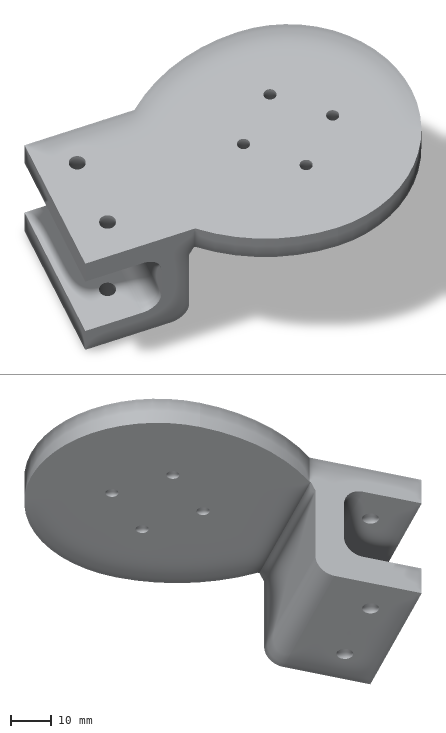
import cadquery as cq

length = 95.3
height = 34.9
tab_width = 40.0
disc_diameter = 66.0
disc_radius = disc_diameter / 2
disc_center_y = length - disc_radius
plate_thickness = 7.4
neck_y = 29.3

wall_back_y = 27.7
wall_thickness = 7.4
jaw_gap = 20.0
lower_arm_thickness = 7.6
bend_radius = 5.0
back_chamfer_run = 1.2
back_chamfer_drop = 2.4

disc_hole_diameter = 3.2
disc_hole_offset = 11.9
clamp_hole_diameter = 4.2
clamp_hole_spacing = 20.0
clamp_hole_y = 10.0

slot_floor_z = lower_arm_thickness
plate_bottom_z = height - plate_thickness
slot_depth = wall_back_y - wall_thickness


def flare_arc_midpoint():
    """Point halfway down the right flare, an arc tangent to the disc at its widest point."""
    run = disc_radius - tab_width / 2
    drop = disc_center_y - neck_y
    radius = (run**2 + drop**2) / (2 * run)
    mid_drop = drop / 2
    mid_x = disc_radius - radius + (radius**2 - mid_drop**2) ** 0.5
    return mid_x, disc_center_y - mid_drop


def make_plate():
    half_tab = tab_width / 2
    mid_x, mid_y = flare_arc_midpoint()
    return (
        cq.Workplane("XY", origin=(0, 0, plate_bottom_z))
        .moveTo(-half_tab, 0)
        .lineTo(half_tab, 0)
        .lineTo(half_tab, neck_y)
        .threePointArc((mid_x, mid_y), (disc_radius, disc_center_y))
        .threePointArc((0, length), (-disc_radius, disc_center_y))
        .threePointArc((-mid_x, mid_y), (-half_tab, neck_y))
        .close()
        .extrude(plate_thickness)
    )


def make_clamp_body():
    return (
        cq.Workplane("YZ")
        .polyline([
            (0, 0),
            (wall_back_y, 0),
            (wall_back_y, plate_bottom_z - back_chamfer_drop),
            (wall_back_y + back_chamfer_run, plate_bottom_z),
            (0, plate_bottom_z),
        ])
        .close()
        .extrude(tab_width / 2, both=True)
        .faces("<Z").edges(">Y")
        .fillet(bend_radius)
    )


def make_slot():
    return (
        cq.Workplane("XY", origin=(0, 0, slot_floor_z))
        .box(tab_width, slot_depth, jaw_gap, centered=(True, False, False))
        .edges("|X and >Y")
        .fillet(bend_radius)
    )


def make_holes():
    disc_holes = (
        cq.Workplane("XY")
        .center(0, disc_center_y)
        .polarArray(disc_hole_offset, 0, 360, 4)
        .circle(disc_hole_diameter / 2)
        .extrude(height)
    )
    clamp_holes = (
        cq.Workplane("XY")
        .center(0, clamp_hole_y)
        .rarray(clamp_hole_spacing, 1, 2, 1)
        .circle(clamp_hole_diameter / 2)
        .extrude(height)
    )
    return disc_holes.union(clamp_holes)


result = make_plate().union(make_clamp_body()).cut(make_slot()).cut(make_holes())